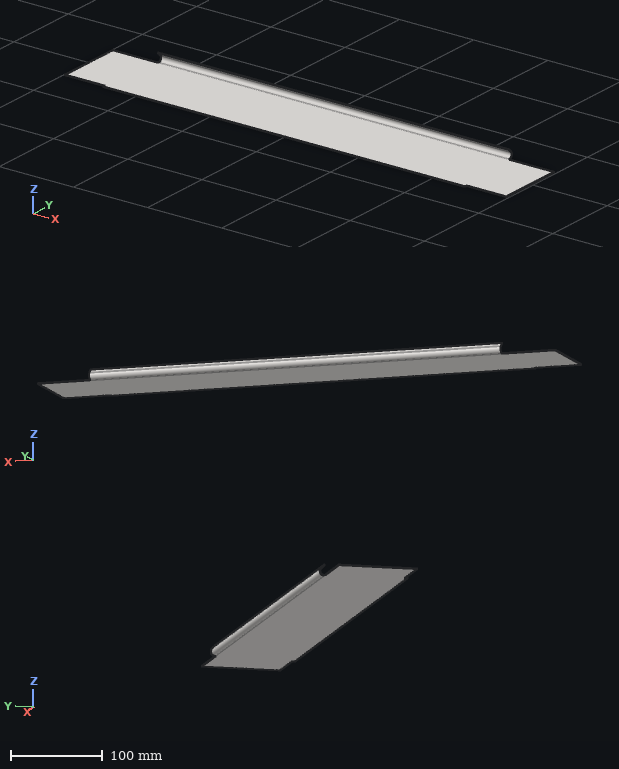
import cadquery as cq
import math

length = 595.0
depth = 97.0
height = 12.5
thickness = 1.0

tongue_length = 488.0
tongue_depth = 3.0
plate_rear_y = 91.0

shoulder_length = 476.0

hook_length = 473.0
bend_inner_radius = 4.0
bend_angle = 135.0

bend_outer_radius = bend_inner_radius + thickness
bend_center_y = depth - bend_outer_radius
bend_center_z = bend_outer_radius


def bend_point(radius, angle):
    """Point (y, z) on the bend after the sheet has turned up by the given angle in degrees."""
    turn = math.radians(angle)
    return (bend_center_y + radius * math.sin(turn), bend_center_z - radius * math.cos(turn))


def flat_strip(strip_length, front_y, rear_y):
    """Flat strip of sheet centred in X, lying on Z = 0."""
    strip = cq.Workplane("XY").box(
        strip_length, rear_y - front_y, thickness, centered=(True, False, False)
    )
    return strip.translate((0, front_y, 0))


def make_flat():
    plate = flat_strip(length, tongue_depth, plate_rear_y)
    tongue = flat_strip(tongue_length, 0, plate_rear_y)
    shoulder = flat_strip(shoulder_length, tongue_depth, bend_center_y)
    return plate.union(tongue).union(shoulder)


def make_hook():
    outer_end = bend_point(bend_outer_radius, bend_angle)
    inner_end = bend_point(bend_inner_radius, bend_angle)
    lip_rise = height - outer_end[1]
    lip_run = lip_rise / math.tan(math.radians(bend_angle))

    profile = (
        cq.Workplane("YZ")
        .moveTo(bend_center_y, 0)
        .threePointArc(bend_point(bend_outer_radius, bend_angle / 2), outer_end)
        .line(lip_run, lip_rise)
        .lineTo(inner_end[0] + lip_run, inner_end[1] + lip_rise)
        .lineTo(*inner_end)
        .threePointArc(bend_point(bend_inner_radius, bend_angle / 2), (bend_center_y, thickness))
        .close()
    )
    return profile.extrude(hook_length / 2, both=True)


result = make_flat().union(make_hook())